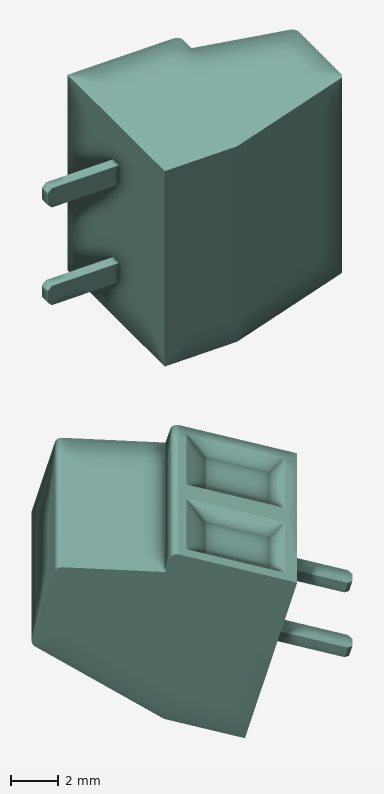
import cadquery as cq

overall_length = 13.5
overall_height = 10.17
pole_count = 2
pole_height = overall_height / pole_count

housing_width = 8.1
pin_length = 3.5
housing_depth = overall_length - pin_length
ledge_y = 5.5
ledge_width = 1.0
top_left_x = 2.01
top_right_x = 6.02
shoulder_y = 3.55
edge_radius = 0.3

mouth_y = (0.54, 4.86)
mouth_margin_z = 0.55
floor_y = (1.08, 3.87)
floor_bottom_z = 0.85
floor_top_margin_z = 1.23
pocket_depth = 0.5

pin_thickness = 0.5
pin_height = 1.0
pin_chamfer = 0.2


def pocket_outline(x, y_limits, z_limits):
    """Rectangular wire at a given X, parallel to the YZ plane."""
    y_low, y_high = y_limits
    z_low, z_high = z_limits
    corners = [
        cq.Vector(x, y_low, z_low),
        cq.Vector(x, y_high, z_low),
        cq.Vector(x, y_high, z_high),
        cq.Vector(x, y_low, z_high),
    ]
    return cq.Wire.makePolygon(corners, close=True)


def make_pocket():
    """Funnel that narrows from the -X face to a flat floor."""
    mouth = pocket_outline(0, mouth_y, (mouth_margin_z, pole_height - mouth_margin_z))
    floor = pocket_outline(
        pocket_depth, floor_y, (floor_bottom_z, pole_height - floor_top_margin_z)
    )
    return cq.Solid.makeLoft([mouth, floor], True)


def make_housing(base_z):
    """One pole of the housing, standing on base_z."""
    outline = [
        (0, 0),
        (housing_width, 0),
        (housing_width, shoulder_y),
        (top_right_x, housing_depth),
        (top_left_x, housing_depth),
        (ledge_width, ledge_y),
        (0, ledge_y),
    ]
    body = cq.Workplane("XY").polyline(outline).close().extrude(pole_height)
    rounded_corners = [
        (top_right_x, housing_depth),
        (top_left_x, housing_depth),
        (0, ledge_y),
    ]
    for x, y in rounded_corners:
        corner = cq.selectors.NearestToPointSelector((x, y, pole_height / 2))
        body = body.edges("|Z").edges(corner).fillet(edge_radius)
    return body.cut(cq.Workplane(make_pocket())).translate((0, 0, base_z))


def make_pin(base_z):
    """Flat pin centred on the pole's -Y face, with a bevelled tip."""
    center = (housing_width / 2, -pin_length / 2, base_z + pole_height / 2)
    pin = cq.Workplane("XY").box(pin_thickness, pin_length, pin_height)
    return pin.faces("<Y").edges("|X").chamfer(pin_chamfer).translate(center)


housings = []
pins = []
for pole in range(pole_count):
    pole_base_z = pole * pole_height
    housings.append(make_housing(pole_base_z).val())
    pins.append(make_pin(pole_base_z).val())

result = cq.Compound.makeCompound([*housings, *pins])